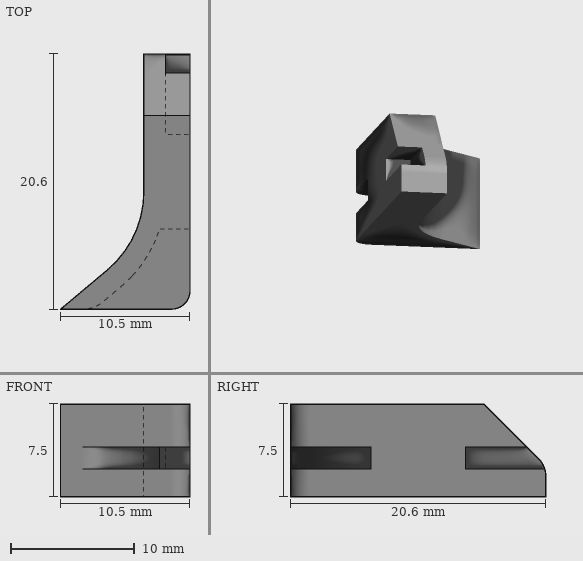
import cadquery as cq
import math

length_x = 10.49
length_y = 20.65
height = 7.5

arm_thickness = 3.75
arm_inner_x = length_x - arm_thickness
toe_angle = math.radians(40)
sweep_radius = 8.25
heel_radius = 1.5

slope_size = 5.0
slope_fillet_radius = 2.0

wall_thickness = 1.75
slot_bottom_z = 2.25
slot_height = 1.8
slot_mouth_radius = 2.5
slot_wall_x = arm_inner_x + wall_thickness

bridge_inset = 6.5
bridge_length = length_y - 2 * bridge_inset

sweep_center_x = arm_inner_x - sweep_radius
sweep_tangent_x = sweep_center_x + sweep_radius * math.sin(toe_angle)
sweep_tangent_y = sweep_tangent_x * math.tan(toe_angle)
sweep_center_y = sweep_tangent_y + sweep_radius * math.cos(toe_angle)


def sweep_point(radius, direction):
    """Point on a circle about the sweep centre; direction is measured from +X towards -Y."""
    return (
        sweep_center_x + radius * math.cos(direction),
        sweep_center_y - radius * math.sin(direction),
    )


def swept_wall(sketch, radius):
    """Continue a sketch along the toe line, then round the sweep arc to the arm."""
    toe_direction = math.pi / 2 - toe_angle
    return (
        sketch.lineTo(*sweep_point(radius, toe_direction))
        .threePointArc(sweep_point(radius, toe_direction / 2), sweep_point(radius, 0))
    )


def make_body():
    outline = swept_wall(cq.Workplane("XY").moveTo(0, 0), sweep_radius)
    body = (
        outline.lineTo(arm_inner_x, length_y)
        .lineTo(length_x, length_y)
        .lineTo(length_x, 0)
        .close()
        .extrude(height)
    )
    return body.edges("|Z and >X and <Y").fillet(heel_radius)


def make_slope_cutter():
    """Wedge above the 45 degree slope and the rounded edge below it."""
    slope_bend = math.radians(45)
    fillet_center_y = length_y - slope_fillet_radius
    fillet_center_z = height - slope_size - slope_fillet_radius * math.tan(slope_bend / 2)

    def fillet_point(direction):
        return (
            fillet_center_y + slope_fillet_radius * math.cos(direction),
            fillet_center_z + slope_fillet_radius * math.sin(direction),
        )

    return (
        cq.Workplane("YZ")
        .moveTo(length_y - slope_size, height)
        .lineTo(*fillet_point(slope_bend))
        .threePointArc(fillet_point(slope_bend / 2), fillet_point(0))
        .lineTo(length_y, height)
        .close()
        .extrude(length_x)
    )


def make_slot_cutter():
    """Slot running along the inside of the wall, less the bridge left solid across it."""
    toe_wall_x = wall_thickness / math.sin(toe_angle)
    mouth_start_x = toe_wall_x - slot_mouth_radius * math.tan(toe_angle / 2)

    def mouth_point(angle):
        return (
            mouth_start_x + slot_mouth_radius * math.sin(angle),
            slot_mouth_radius * (1 - math.cos(angle)),
        )

    outline = (
        cq.Workplane("XY")
        .workplane(offset=slot_bottom_z)
        .moveTo(mouth_start_x, 0)
        .threePointArc(mouth_point(toe_angle / 2), mouth_point(toe_angle))
    )
    slot = (
        swept_wall(outline, sweep_radius + wall_thickness)
        .lineTo(slot_wall_x, length_y)
        .lineTo(length_x, length_y)
        .lineTo(length_x, 0)
        .close()
        .extrude(slot_height)
    )
    bridge = (
        cq.Workplane("XY")
        .box(length_x, bridge_length, height, centered=False)
        .translate((0, bridge_inset, 0))
    )
    return slot.cut(bridge)


result = make_body().cut(make_slope_cutter()).cut(make_slot_cutter())